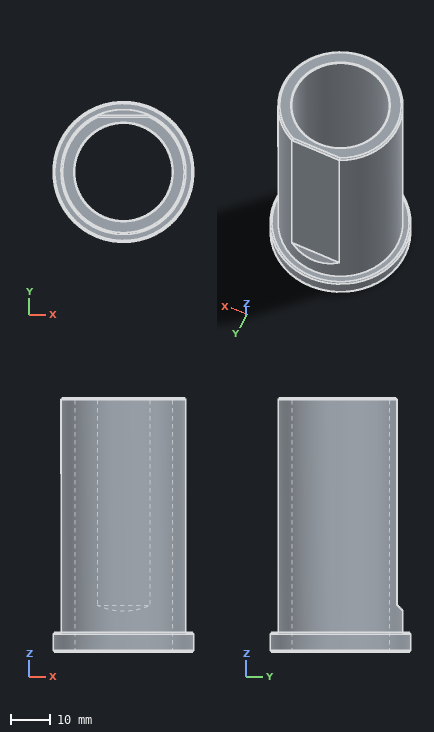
import cadquery as cq

total_height = 65.0
flange_diameter = 36.0
flange_height = 5.0
sleeve_diameter = 32.0
bore_diameter = 25.0
edge_chamfer = 0.45
bore_chamfer = 0.2

flat_distance = 14.5
flat_bottom = 12.0


def make_flange():
    flange = cq.Workplane("XY").circle(flange_diameter / 2).extrude(flange_height)
    return flange.edges().chamfer(edge_chamfer)


def make_flat_cutter():
    """Profile in the YZ plane, swept across the full sleeve width."""
    outer_y = flange_diameter / 2
    runout_drop = outer_y - flat_distance
    profile = [
        (flat_distance, total_height),
        (flat_distance, flat_bottom),
        (outer_y, flat_bottom - runout_drop),
        (outer_y, total_height),
    ]
    return cq.Workplane("YZ").polyline(profile).close().extrude(sleeve_diameter / 2, both=True)


def make_sleeve():
    sleeve = cq.Workplane("XY").circle(sleeve_diameter / 2).extrude(total_height)
    return sleeve.cut(make_flat_cutter()).faces(">Z").edges().chamfer(edge_chamfer)


def cut_bore(body):
    bored = body.cut(cq.Workplane("XY").circle(bore_diameter / 2).extrude(total_height))
    bore_rims = bored.faces("<Z or >Z").edges(cq.selectors.RadiusNthSelector(0))
    return bore_rims.chamfer(bore_chamfer)


result = cut_bore(make_flange().union(make_sleeve()))